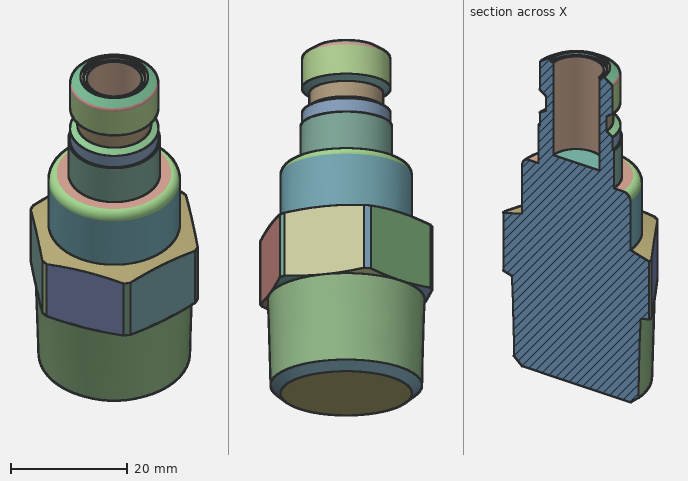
import cadquery as cq
import math

total_height = 62.5
hex_across_flats = 27.0
hex_corner_diameter = 30.5
hex_bevel_angle = 15.0

taper_bottom_diameter = 26.1
taper_top_diameter = 27.0
bottom_chamfer_height = 1.5
bottom_chamfer_width = 1.75
hex_bottom = 17.1

shoulder_diameter = 22.7
shoulder_base = 30.1
shoulder_top = 41.2
shoulder_fillet = 1.5

stem_diameter = 15.8
stem_top = 48.7
head_diameter = 15.25
neck_diameter = 12.75
collar_edge = 51.2
neck_bottom = 52.0
neck_top = 54.8
head_bottom_edge = 55.7
head_fillet = 0.6
nose_chamfer_height = 1.2
rim_diameter = 11.6

mouth_diameter = 10.7
ledge_diameter = 10.5
bore_diameter = 9.5
mouth_depth = 0.5
bore_depth = 18.75

bevel_slope = math.tan(math.radians(hex_bevel_angle))
hex_corner_radius = hex_corner_diameter / 2
hex_corner_top = shoulder_base - (hex_corner_radius - shoulder_diameter / 2) * bevel_slope
hex_corner_bottom = hex_bottom + (hex_corner_diameter - hex_across_flats) / 2 * bevel_slope


def revolve_profile(points):
    """Turn a closed (radius, height) outline around the Z axis."""
    return cq.Workplane("XZ").polyline(points).close().revolve(360, (0, 0, 0), (0, 1, 0))


def make_taper():
    bottom = taper_bottom_diameter / 2
    return revolve_profile([
        (0, 0),
        (bottom - bottom_chamfer_width, 0),
        (bottom, bottom_chamfer_height),
        (taper_top_diameter / 2, hex_bottom),
        (0, hex_bottom),
    ])


def make_hexagon():
    """Hexagon with corners on +Y and -Y, bevelled at both ends."""
    turned = revolve_profile([
        (0, hex_bottom),
        (hex_across_flats / 2, hex_bottom),
        (hex_corner_radius, hex_corner_bottom),
        (hex_corner_radius, hex_corner_top),
        (shoulder_diameter / 2, shoulder_base),
        (0, shoulder_base),
    ])
    point_to_point = hex_across_flats / math.cos(math.radians(30))
    prism = (
        cq.Workplane("XY")
        .polygon(6, point_to_point)
        .extrude(total_height)
        .rotate((0, 0, 0), (0, 0, 1), 30)
    )
    return turned.intersect(prism)


def make_shoulder():
    return (
        cq.Workplane("XY", origin=(0, 0, shoulder_base))
        .circle(shoulder_diameter / 2)
        .extrude(shoulder_top - shoulder_base)
        .faces(">Z")
        .edges()
        .fillet(shoulder_fillet)
    )


def make_nose():
    head = head_diameter / 2
    neck = neck_diameter / 2
    nose_edge = total_height - nose_chamfer_height
    nose = revolve_profile([
        (0, shoulder_top),
        (stem_diameter / 2, shoulder_top),
        (stem_diameter / 2, stem_top),
        (head, stem_top),
        (head, collar_edge),
        (neck, neck_bottom),
        (neck, neck_top),
        (head, head_bottom_edge),
        (head, nose_edge),
        (rim_diameter / 2, total_height),
        (0, total_height),
    ])
    edge_center = (0, 0, nose_edge)
    return nose.edges(cq.selectors.NearestToPointSelector(edge_center)).fillet(head_fillet)


def make_bore():
    """Blind bore with a shallow, slightly tapered recess at its mouth."""
    bore = bore_diameter / 2
    return revolve_profile([
        (0, total_height - bore_depth),
        (bore, total_height - bore_depth),
        (bore, total_height - mouth_depth),
        (ledge_diameter / 2, total_height - mouth_depth),
        (mouth_diameter / 2, total_height),
        (0, total_height),
    ])


body = make_taper().union(make_hexagon()).union(make_shoulder()).union(make_nose())
result = body.cut(make_bore())